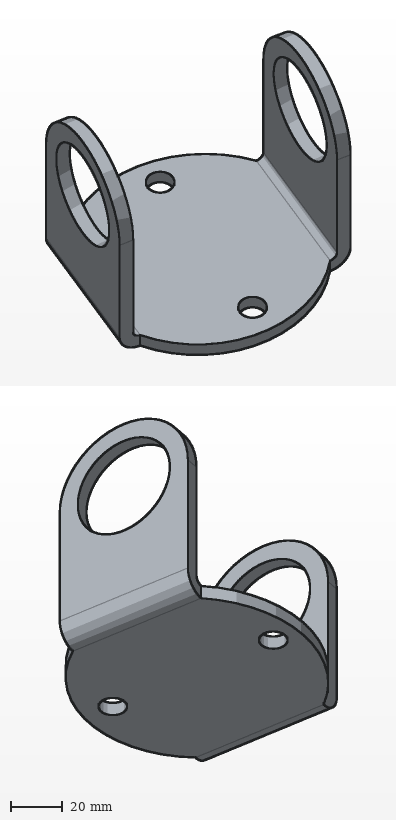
import cadquery as cq

length = 101.0
height = 91.0
thickness = 6.0
bend_inner_radius = 3.0
ear_width = 60.0
ear_hole_diameter = 43.0
ear_hole_center_z = 61.3

left_reach = 49.0
right_reach = 51.0

mount_hole_diameter = 11.0
mount_hole_spacing = 75.0
mount_hole_y = 3.5

ear_radius = ear_width / 2
ear_center_z = height - ear_radius
bend_outer_radius = bend_inner_radius + thickness
base_half_length = length / 2 - bend_outer_radius
inner_length = length - 2 * thickness


def rounded_block(block_length, bottom_z, corner_radius):
    """Block rising to the full height, with its two lower edges along X rounded."""
    return (
        cq.Workplane("XY")
        .workplane(offset=bottom_z)
        .box(ear_width, block_length, height - bottom_z, centered=(True, True, False))
        .edges("|X and <Z")
        .fillet(corner_radius)
    )


def make_channel():
    """U-shaped strip with rounded bends."""
    outer = rounded_block(length, 0, bend_outer_radius)
    inner = rounded_block(inner_length, thickness, bend_inner_radius)
    return outer.cut(inner)


def make_ear_profile():
    """Arched ear outline, extruded across both ears."""
    return (
        cq.Workplane("XZ")
        .moveTo(-ear_radius, 0)
        .lineTo(ear_radius, 0)
        .lineTo(ear_radius, ear_center_z)
        .threePointArc((0, height), (-ear_radius, ear_center_z))
        .close()
        .extrude(length / 2, both=True)
    )


def make_base():
    """Flat base whose two sides bow outward between the bend lines."""
    return (
        cq.Workplane("XY")
        .moveTo(-ear_radius, -base_half_length)
        .lineTo(ear_radius, -base_half_length)
        .threePointArc((right_reach, 0), (ear_radius, base_half_length))
        .lineTo(-ear_radius, base_half_length)
        .threePointArc((-left_reach, 0), (-ear_radius, -base_half_length))
        .close()
        .extrude(thickness)
    )


ear_holes = (
    cq.Workplane("XZ")
    .center(0, ear_hole_center_z)
    .circle(ear_hole_diameter / 2)
    .extrude(length / 2, both=True)
)

mount_holes = (
    cq.Workplane("XY")
    .pushPoints([(side * mount_hole_spacing / 2, mount_hole_y) for side in (-1, 1)])
    .circle(mount_hole_diameter / 2)
    .extrude(thickness)
)

ears = make_channel().intersect(make_ear_profile())
result = ears.union(make_base()).cut(ear_holes).cut(mount_holes)